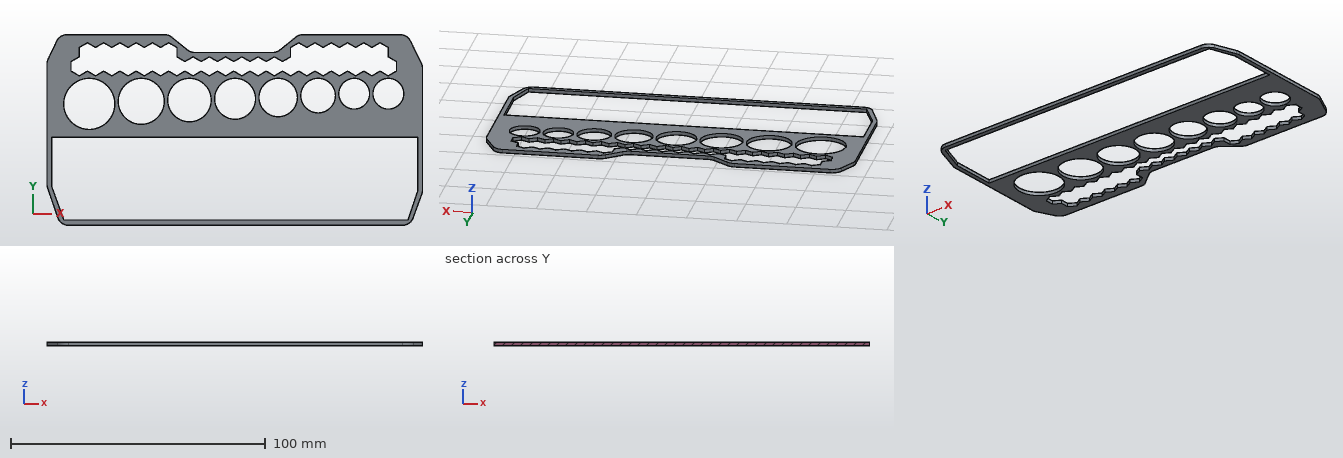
import cadquery as cq
import math

length = 147.6
width = 75.0
thickness = 1.5
half_length = length / 2
half_width = width / 2
corner_radius = 4.6

top_left_run = 5.1
top_left_height = 10.6
top_right_run = 6.0
top_right_height = 12.3
bottom_left_run = 5.3
bottom_left_height = 15.5
bottom_right_run = 4.8
bottom_right_height = 13.1

pattern_center_x = -0.4

notch_depth = 7.0
notch_floor_width = 34.0
notch_mouth_width = 51.2

hex_sides = 6
hex_pitch = 6.385
hex_corner_radius = hex_pitch / math.sqrt(3)
hex_row_step = 1.5 * hex_corner_radius
hex_turn = 30
hex_overlap = 0.01
lower_hex_count = 20
upper_hex_gap = 7
lower_hex_row_depth = 12.5

socket_diameters = [20.0, 18.0, 17.0, 16.0, 15.0, 13.5, 12.0, 12.0]
socket_gap = 1.425
socket_top_depth = 17.25

rim = 2.0
window_depth = 40.4
window_floor_height = 2.2
window_left_run = 4.7
window_left_height = 13.0
window_right_run = 3.8
window_right_height = 11.3


def make_plate():
    notch_y = half_width - notch_depth
    outline = [
        (-half_length, half_width - top_left_height),
        (-half_length + top_left_run, half_width),
        (pattern_center_x - notch_mouth_width / 2, half_width),
        (pattern_center_x - notch_floor_width / 2, notch_y),
        (pattern_center_x + notch_floor_width / 2, notch_y),
        (pattern_center_x + notch_mouth_width / 2, half_width),
        (half_length - top_right_run, half_width),
        (half_length, half_width - top_right_height),
        (half_length, -half_width + bottom_right_height),
        (half_length - bottom_right_run, -half_width),
        (-half_length + bottom_left_run, -half_width),
        (-half_length, -half_width + bottom_left_height),
    ]
    plate = cq.Workplane("XY").polyline(outline).close().extrude(thickness)
    return plate.edges("|Z").fillet(corner_radius)


def hex_centers():
    first_x = pattern_center_x - (lower_hex_count - 1) / 2 * hex_pitch
    lower_y = half_width - lower_hex_row_depth
    lower = [(first_x + i * hex_pitch, lower_y) for i in range(lower_hex_count)]
    upper_places = lower_hex_count - 1
    gap_start = (upper_places - upper_hex_gap) // 2
    gap_end = gap_start + upper_hex_gap
    upper = [
        (first_x + (i + 0.5) * hex_pitch, lower_y + hex_row_step)
        for i in range(upper_places)
        if not gap_start <= i < gap_end
    ]
    return lower + upper


def make_hex_opening():
    hexagon = (
        cq.Workplane("XY")
        .polygon(hex_sides, 2 * hex_corner_radius + hex_overlap)
        .extrude(thickness)
        .rotate((0, 0, 0), (0, 0, 1), hex_turn)
    )
    opening = cq.Workplane("XY")
    for x, y in hex_centers():
        opening = opening.union(hexagon.translate((x, y, 0)))
    return opening


def cut_sockets(plate):
    row_length = sum(socket_diameters) + socket_gap * (len(socket_diameters) - 1)
    left_x = pattern_center_x - row_length / 2
    top_y = half_width - socket_top_depth
    for diameter in socket_diameters:
        radius = diameter / 2
        socket = cq.Workplane("XY").center(left_x + radius, top_y - radius).circle(radius)
        plate = plate.cut(socket.extrude(thickness))
        left_x += diameter + socket_gap
    return plate


def make_window():
    side_x = half_length - rim
    top_y = half_width - window_depth
    floor_y = -half_width + window_floor_height
    outline = [
        (-side_x, top_y),
        (side_x, top_y),
        (side_x, floor_y + window_right_height),
        (side_x - window_right_run, floor_y),
        (-side_x + window_left_run, floor_y),
        (-side_x, floor_y + window_left_height),
    ]
    return cq.Workplane("XY").polyline(outline).close().extrude(thickness)


plate = make_plate()
plate = plate.cut(make_hex_opening())
plate = cut_sockets(plate)
result = plate.cut(make_window())